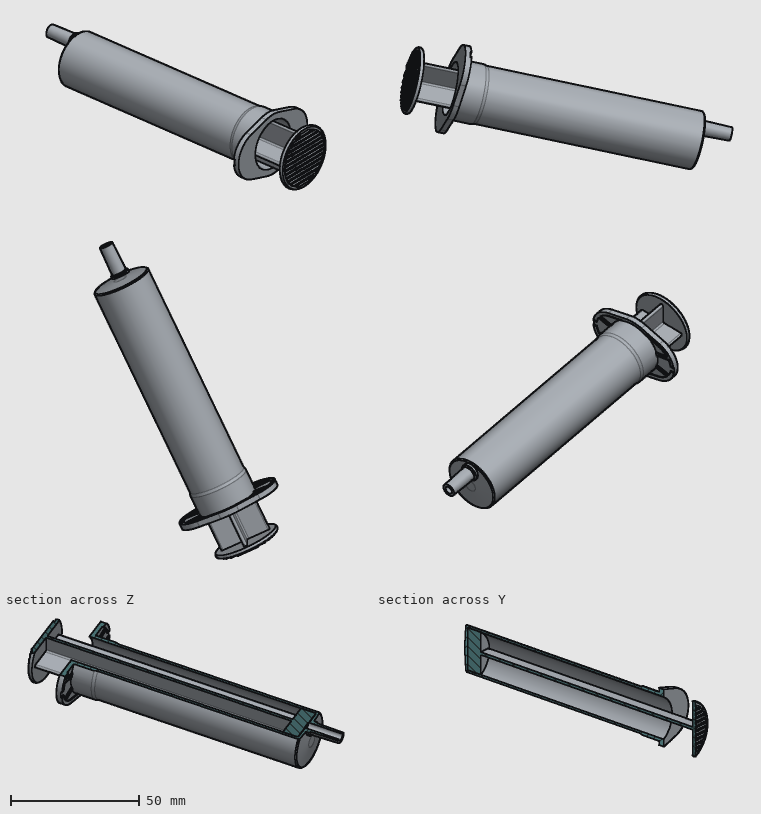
import cadquery as cq
import math

TOTAL_LENGTH = 130.6

BARREL_RADIUS = 11.6
BARREL_START = 13.6
BARREL_FRONT_CHAMFER = 0.5
CONE_TIP_X = 12.8
CONE_TIP_RADIUS = 2.6
COLLAR_RADIUS = 12.0
COLLAR_START = 103.0
COLLAR_TAPER_LENGTH = 1.3
BORE_RADIUS = 10.6
END_WALL = 1.3
BORE_START = BARREL_START + END_WALL

NOZZLE_Z = 7.3
NOZZLE_TIP_RADIUS = 2.7
NOZZLE_BASE_RADIUS = 3.0
NOZZLE_BORE_RADIUS = 1.6
RING_RADIUS = 3.7
RING_START = 11.8
RING_CHAMFER = 0.5

FLANGE_START = 111.4
FLANGE_THICKNESS = 2.5
FLANGE_END = FLANGE_START + FLANGE_THICKNESS
FLANGE_WIDTH = 41.1
FLANGE_MID_RADIUS = 13.5
FLANGE_LOBE_RADIUS = 10.6
FLANGE_LOBE_Y = FLANGE_WIDTH / 2 - FLANGE_LOBE_RADIUS
FLANGE_RIM = 1.7
POCKET_DEPTH = 0.4
RIB_WIDTH = 1.5
RIB_ANGLE = 13.0
RIB_ROOT_Z = 0.8
RIM_SLOT_WIDTH = 2.5

PISTON_LENGTH = 6.5
FIN_WIDTH = 20.8
FIN_THICKNESS = 1.5
FIN_ROOT_FILLET = 0.7
PAD_RADIUS = 13.3
PAD_START = 128.4
PAD_THICKNESS = 1.6
PAD_EDGE_BULGE = 0.4
PAD_BACK = PAD_START + PAD_THICKNESS
TOOTH_COUNT = 13
TOOTH_SPAN = 22.2
TOOTH_PITCH = TOOTH_SPAN / (TOOTH_COUNT - 1)
TOOTH_BASE = 1.2
TOOTH_FIELD_RADIUS = 11.9


def section(x):
    """Sketch plane across the syringe at x: local x is +Y, local y is +Z."""
    return cq.Workplane("YZ", origin=(x, 0, 0))


def disc(radius, start, end, z=0.0):
    return section(start).center(0, z).circle(radius).extrude(end - start)


def turned(profile, z=0.0):
    """Revolve (x, radius) points about a line parallel to X at height z."""
    points = [(x, z + radius) for x, radius in profile]
    return cq.Workplane("XZ").polyline(points).close().revolve(360, (0, z), (1, z))


def flange_plate(inset, start, end):
    """Middle disc and two side lobes joined by their tangents, shrunk all round by inset."""
    mid_radius = FLANGE_MID_RADIUS - inset
    lobe_radius = FLANGE_LOBE_RADIUS - inset
    sine = (mid_radius - lobe_radius) / FLANGE_LOBE_Y
    cosine = math.sqrt(1 - sine**2)
    mid_y, mid_z = mid_radius * sine, mid_radius * cosine
    lobe_y, lobe_z = FLANGE_LOBE_Y + lobe_radius * sine, lobe_radius * cosine
    end_y = FLANGE_LOBE_Y + lobe_radius
    return (
        section(start)
        .moveTo(-mid_y, mid_z)
        .threePointArc((0, mid_radius), (mid_y, mid_z))
        .lineTo(lobe_y, lobe_z)
        .threePointArc((end_y, 0), (lobe_y, -lobe_z))
        .lineTo(mid_y, -mid_z)
        .threePointArc((0, -mid_radius), (-mid_y, -mid_z))
        .lineTo(-lobe_y, -lobe_z)
        .threePointArc((-end_y, 0), (-lobe_y, lobe_z))
        .close()
        .extrude(end - start)
    )


def flange_ribs(start, end):
    """Four ribs that fan out from the collar, two on each side."""
    ribs = cq.Workplane()
    for side in (-1, 1):
        for level in (-1, 1):
            rib = (
                section(start)
                .rect(FLANGE_WIDTH, RIB_WIDTH)
                .extrude(end - start)
                .translate((0, side * FLANGE_WIDTH / 2, 0))
                .rotate((0, 0, 0), (1, 0, 0), side * level * RIB_ANGLE)
                .translate((0, 0, level * RIB_ROOT_Z))
            )
            ribs = ribs.add(rib)
    return ribs.combine()


def flange_recess():
    """Pockets in the front face, open at both ends of the flange through a narrow slot."""
    floor = FLANGE_START + POCKET_DEPTH
    pockets = flange_plate(FLANGE_RIM, FLANGE_START, floor)
    pockets = pockets.cut(flange_ribs(FLANGE_START, floor))
    slots = section(FLANGE_START).rect(FLANGE_WIDTH, RIM_SLOT_WIDTH).extrude(POCKET_DEPTH)
    return pockets.union(slots)


def barrel_shell():
    return turned([
        (CONE_TIP_X, 0),
        (CONE_TIP_X, CONE_TIP_RADIUS),
        (BARREL_START, BARREL_RADIUS - BARREL_FRONT_CHAMFER),
        (BARREL_START + BARREL_FRONT_CHAMFER, BARREL_RADIUS),
        (COLLAR_START - COLLAR_TAPER_LENGTH, BARREL_RADIUS),
        (COLLAR_START, COLLAR_RADIUS),
        (FLANGE_END, COLLAR_RADIUS),
        (FLANGE_END, 0),
    ])


def nozzle():
    return turned([
        (0, 0),
        (0, NOZZLE_TIP_RADIUS),
        (RING_START, NOZZLE_BASE_RADIUS),
        (RING_START, RING_RADIUS - RING_CHAMFER),
        (RING_START + RING_CHAMFER, RING_RADIUS),
        (BORE_START, RING_RADIUS),
        (BORE_START, 0),
    ], NOZZLE_Z)


def make_barrel():
    flange = flange_plate(0, FLANGE_START, FLANGE_END).cut(flange_recess())
    return (
        barrel_shell()
        .union(nozzle())
        .union(flange)
        .cut(disc(BORE_RADIUS, BORE_START, FLANGE_END))
        .cut(disc(NOZZLE_BORE_RADIUS, 0, BORE_START, NOZZLE_Z))
    )


def plunger_rod():
    """Cross-shaped rod with round fin edges and filleted inner corners."""
    start = BORE_START + PISTON_LENGTH
    length = PAD_START - start
    upright = section(start).slot2D(FIN_WIDTH, FIN_THICKNESS, 90).extrude(length)
    level = section(start).slot2D(FIN_WIDTH, FIN_THICKNESS).extrude(length)
    core = cq.selectors.BoxSelector(
        (start, -FIN_THICKNESS, -FIN_THICKNESS), (PAD_START, FIN_THICKNESS, FIN_THICKNESS)
    )
    return upright.union(level).edges("|X").edges(core).fillet(FIN_ROOT_FILLET)


def thumb_pad():
    """Disc whose edge bulges outward along an arc."""
    corner_radius = PAD_RADIUS - PAD_EDGE_BULGE
    return (
        cq.Workplane("XZ", origin=(PAD_START, 0, 0))
        .lineTo(0, corner_radius)
        .threePointArc((PAD_THICKNESS / 2, PAD_RADIUS), (PAD_THICKNESS, corner_radius))
        .lineTo(PAD_THICKNESS, 0)
        .close()
        .revolve(360, (0, 0), (1, 0))
    )


def thumb_teeth():
    """Ridges along Y on the back of the thumb pad, trimmed to a circle."""
    half_base = TOOTH_BASE / 2
    teeth = cq.Workplane()
    for index in range(TOOTH_COUNT):
        z = index * TOOTH_PITCH - TOOTH_SPAN / 2
        corners = [(PAD_BACK, z - half_base), (TOTAL_LENGTH, z), (PAD_BACK, z + half_base)]
        ridge = cq.Workplane("XZ").polyline(corners).close().extrude(TOOTH_FIELD_RADIUS, both=True)
        teeth = teeth.add(ridge)
    return teeth.combine().intersect(disc(TOOTH_FIELD_RADIUS, PAD_BACK, TOTAL_LENGTH))


def make_plunger():
    piston = disc(BORE_RADIUS, BORE_START, BORE_START + PISTON_LENGTH)
    return piston.union(plunger_rod()).union(thumb_pad()).union(thumb_teeth())


barrel = make_barrel()
plunger = make_plunger()

result = cq.Compound.makeCompound([barrel.solids().val(), plunger.solids().val()])